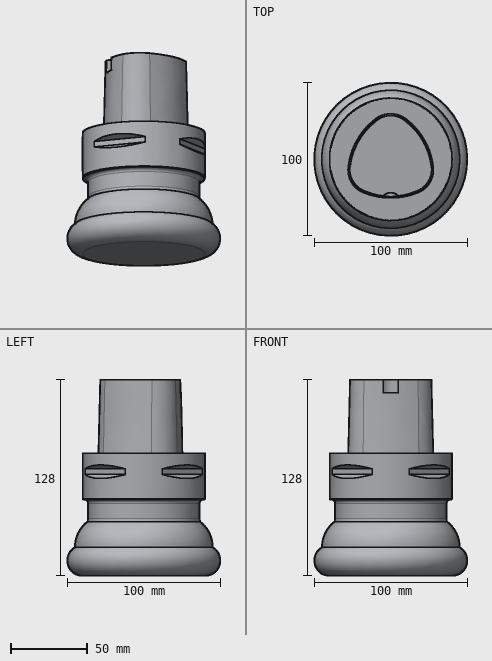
import cadquery as cq
import math

cutter_diameter = 100.0
rim_radius = 10.0
rim_center_r = cutter_diameter / 2 - rim_radius

dome_diameter = 90.1
dome_arc_radius = 21.2
dome_top_z = 35.5
neck_diameter = 73.0
neck_bottom_z = 37.6
neck_fillet = 2.3
flange_diameter = 80.0
flange_bottom_z = 49.7
flange_top_z = 80.0
flange_chamfer = 0.5

slot_count = 4
slot_center_z = 68.0
slot_floor_distance = 35.5
slot_floor_height = 3.6
slot_flank_angle = 30.0
slot_cut_clearance = 1.3

total_height = 128.0
taper_run = 40.0
shank_taper = math.degrees(math.atan(1 / taper_run))
lobe_count = 3
first_lobe = 90.0
lobe_tip_r = 29.7
side_middle_r = 25.3
lobe_arc_radius = 16.1

notch_radius = 6.4
notch_inner_y = -21.8
notch_height = 8.5

dome_r = dome_diameter / 2
joint_z = rim_radius + math.sqrt(rim_radius**2 - (dome_r - rim_center_r) ** 2)


def polar(radius, degrees):
    angle = math.radians(degrees)
    return (radius * math.cos(angle), radius * math.sin(angle))


def make_cutter():
    profile = (
        cq.Workplane("XZ")
        .lineTo(rim_center_r, 0)
        .threePointArc((cutter_diameter / 2, rim_radius), (dome_r, joint_z))
        .lineTo(0, joint_z)
        .close()
    )
    return profile.revolve(360, (0, 0, 0), (0, 1, 0))


def dome_point(z):
    """Profile point of the dome, which is vertical at the joint."""
    drop = dome_arc_radius - math.sqrt(dome_arc_radius**2 - (z - joint_z) ** 2)
    return (dome_r - drop, z)


def make_holder_body():
    neck_r = neck_diameter / 2
    flange_r = flange_diameter / 2
    fillet_middle = neck_fillet * (1 - math.sqrt(0.5))
    profile = (
        cq.Workplane("XZ")
        .moveTo(0, joint_z)
        .lineTo(dome_r, joint_z)
        .threePointArc(dome_point((joint_z + dome_top_z) / 2), dome_point(dome_top_z))
        .lineTo(neck_r, neck_bottom_z)
        .lineTo(neck_r, flange_bottom_z - neck_fillet)
        .threePointArc(
            (neck_r + fillet_middle, flange_bottom_z - fillet_middle),
            (neck_r + neck_fillet, flange_bottom_z),
        )
        .lineTo(flange_r - flange_chamfer, flange_bottom_z)
        .lineTo(flange_r, flange_bottom_z + flange_chamfer)
        .lineTo(flange_r, flange_top_z)
        .lineTo(0, flange_top_z)
        .close()
    )
    return profile.revolve(360, (0, 0, 0), (0, 1, 0))


def make_slot_cutter():
    """Straight groove across +X that widens outward, cut into the flange."""
    outer_x = flange_diameter / 2 + slot_cut_clearance
    floor_half = slot_floor_height / 2
    spread = (outer_x - slot_floor_distance) * math.tan(math.radians(slot_flank_angle))
    section = (
        cq.Workplane("XZ", origin=(0, 0, slot_center_z))
        .moveTo(slot_floor_distance, -floor_half)
        .lineTo(outer_x, -floor_half - spread)
        .lineTo(outer_x, floor_half + spread)
        .lineTo(slot_floor_distance, floor_half)
        .close()
    )
    return section.extrude(flange_diameter / 2, both=True)


def make_shank():
    lobe_center_r = lobe_tip_r - lobe_arc_radius
    side_gap = side_middle_r - lobe_arc_radius
    side_center_r = (lobe_center_r**2 - side_gap**2) / (2 * side_gap - lobe_center_r)
    lobe_pitch = 360 / lobe_count

    away_x = lobe_center_r + side_center_r * math.cos(math.radians(lobe_pitch / 2))
    away_y = side_center_r * math.sin(math.radians(lobe_pitch / 2))
    reach = lobe_arc_radius / math.hypot(away_x, away_y)
    tangent_x = lobe_center_r + away_x * reach
    tangent_y = away_y * reach
    tangent_r = math.hypot(tangent_x, tangent_y)
    tangent_angle = math.degrees(math.atan2(tangent_y, tangent_x))

    outline = cq.Workplane("XY", origin=(0, 0, flange_top_z))
    outline = outline.moveTo(*polar(tangent_r, first_lobe - tangent_angle))
    for i in range(lobe_count):
        lobe = first_lobe + i * lobe_pitch
        side = lobe + lobe_pitch / 2
        next_lobe = lobe + lobe_pitch
        outline = outline.threePointArc(
            polar(lobe_tip_r, lobe), polar(tangent_r, lobe + tangent_angle)
        )
        outline = outline.threePointArc(
            polar(side_middle_r, side), polar(tangent_r, next_lobe - tangent_angle)
        )
    return outline.close().extrude(total_height - flange_top_z, taper=shank_taper)


def make_notch_cutter():
    return (
        cq.Workplane("XY", origin=(0, notch_inner_y - notch_radius, total_height))
        .circle(notch_radius)
        .extrude(-notch_height)
    )


def make_holder():
    body = make_holder_body()
    slot_pitch = 360 / slot_count
    for i in range(slot_count):
        angle = (i + 0.5) * slot_pitch
        body = body.cut(make_slot_cutter().rotate((0, 0, 0), (0, 0, 1), angle))
    return body.union(make_shank().cut(make_notch_cutter()))


cutter = make_cutter()
holder = make_holder()
result = cq.Compound.makeCompound([cutter.val(), *holder.solids().vals()])